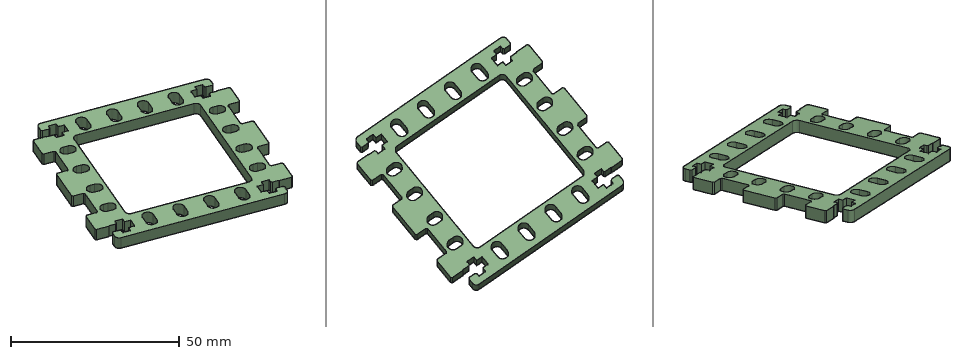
import cadquery as cq

thickness = 4.0
frame_width = 60.0
overall_depth = 64.0
tab_height = 4.05
tip_y = overall_depth / 2
root_y = tip_y - tab_height
frame_depth = 2 * root_y
frame_corner_radius = 1.4

window_size = 41.0
window_corner_radius = 1.5

center_tab_width = 12.0
side_tab_width = 7.5
side_tab_inner_x = 16.0
side_tab_outer_x = side_tab_inner_x + side_tab_width
corner_chamfer = 0.4

nut_slot_x = 24.9
bolt_width = 3.0
bolt_end_y = window_size / 2
nut_width = 5.9
nut_height = 2.5
nut_outer_y = 25.0
mouth_width = 3.1
mouth_inner_x = nut_slot_x - mouth_width / 2
mouth_outer_x = nut_slot_x + mouth_width / 2
mouth_step_y = 27.6

slots_per_side = 4
slot_pitch = 10.0
slot_offsets = [slot_pitch * (i - (slots_per_side - 1) / 2) for i in range(slots_per_side)]
slot_width = 3.5
y_side_slot_length = 5.0
y_side_slot_y = (window_size / 2 + root_y) / 2
x_side_slot_length = 6.2
x_side_slot_x = 24.85

edge_pick_reach = 0.05


def block(x_min, x_max, y_min, y_max):
    """Full-thickness block between two X and two Y limits."""
    return (
        cq.Workplane("XY")
        .box(x_max - x_min, y_max - y_min, thickness, centered=False)
        .translate((x_min, y_min, 0))
    )


def rounded_plate(width, depth, radius):
    """Full-thickness plate centred on the Z axis with rounded corners."""
    return cq.Workplane("XY").rect(width, depth).extrude(thickness).edges("|Z").fillet(radius)


def with_mirror(shape, plane):
    """The shape together with its mirror image in a plane through the origin."""
    return shape.union(shape.mirror(plane))


def make_frame():
    """Plate with rounded outer corners and a rounded square window."""
    plate = rounded_plate(frame_width, frame_depth, frame_corner_radius)
    window = rounded_plate(window_size, window_size, window_corner_radius)
    return plate.cut(window)


def make_tabs():
    """Three tabs on each Y side, rooted inside the frame."""
    center_tab = block(-center_tab_width / 2, center_tab_width / 2, nut_outer_y, tip_y)
    side_tab = block(side_tab_inner_x, side_tab_outer_x, nut_outer_y, tip_y)
    tabs = center_tab.union(with_mirror(side_tab, "YZ"))
    return with_mirror(tabs, "XZ")


def make_nut_slots():
    """Cross-shaped captive-nut slots; each mouth narrows slightly beside the side tab."""
    mouth = block(mouth_inner_x, mouth_outer_x, nut_outer_y, mouth_step_y)
    mouth_end = block(side_tab_outer_x, mouth_outer_x, mouth_step_y, root_y)
    nut_pocket = block(
        nut_slot_x - nut_width / 2,
        nut_slot_x + nut_width / 2,
        nut_outer_y - nut_height,
        nut_outer_y,
    )
    bolt_channel = block(
        nut_slot_x - bolt_width / 2,
        nut_slot_x + bolt_width / 2,
        bolt_end_y,
        nut_outer_y,
    )
    nut_slot = mouth.union(mouth_end).union(nut_pocket).union(bolt_channel)
    return with_mirror(with_mirror(nut_slot, "YZ"), "XZ")


def make_slot_row(points, length, angle):
    """Obround cutters of one length and direction at the given points."""
    return (
        cq.Workplane("XY")
        .pushPoints(points)
        .slot2D(length, slot_width, angle)
        .extrude(thickness)
    )


def make_mounting_slots():
    """Rows of obround slots along every side of the frame."""
    y_side_points = [(x, side * y_side_slot_y) for x in slot_offsets for side in (-1, 1)]
    x_side_points = [(side * x_side_slot_x, y) for y in slot_offsets for side in (-1, 1)]
    y_side_slots = make_slot_row(y_side_points, y_side_slot_length, 90)
    x_side_slots = make_slot_row(x_side_points, x_side_slot_length, 0)
    return y_side_slots.union(x_side_slots)


def chamfer_corner(body, x, y):
    """Chamfer the vertical edges at the four mirrored positions of (x, y)."""
    for x_side in (-1, 1):
        for y_side in (-1, 1):
            edge_box = cq.selectors.BoxSelector(
                (x_side * x - edge_pick_reach, y_side * y - edge_pick_reach, 0),
                (x_side * x + edge_pick_reach, y_side * y + edge_pick_reach, thickness),
            )
            body = body.edges("|Z").edges(edge_box).chamfer(corner_chamfer)
    return body


def chamfer_corners(body):
    """Chamfer the tab tips, the tab roots and the lips of the nut-slot mouths."""
    corners = [
        (center_tab_width / 2, tip_y),
        (side_tab_inner_x, tip_y),
        (side_tab_outer_x, tip_y),
        (center_tab_width / 2, root_y),
        (side_tab_inner_x, root_y),
        (mouth_outer_x, root_y),
        (mouth_outer_x, nut_outer_y),
        (mouth_inner_x, nut_outer_y),
    ]
    for x, y in corners:
        body = chamfer_corner(body, x, y)
    return body


frame = make_frame().union(make_tabs())
slotted_frame = frame.cut(make_nut_slots()).cut(make_mounting_slots())
result = chamfer_corners(slotted_frame)